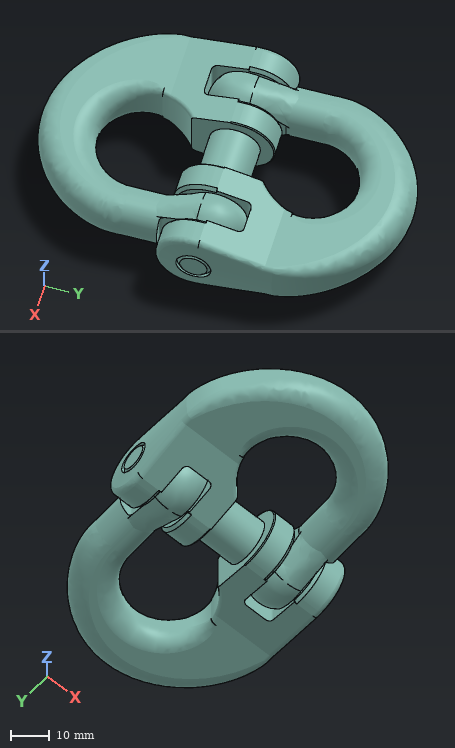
import cadquery as cq
import math

OUTER_X = 32.9
FLANK_RADIUS = 51.2
PIN_END_HEIGHT = 20.0
BAR_HALF_HEIGHT = 6.3
END_CENTRE_Y = 0.9
TAPER_TOP_Y = -1.1
TAPER_END_Y = -19.3

PRONG_INNER_X = 6.9
SLOT_INNER_X = 14.5
SLOT_OUTER_X = 24.1
SLOT_FLOOR_Y = -11.0
SLOT_CORNER_RADIUS = 1.5
FORK_EDGE_RADIUS = 1.6
SLOT_EDGE_CHAMFER = 0.9
SLEEVE_EDGE_CHAMFER = 0.3
THROAT_EDGE_RADIUS = 1.0
THROAT_END_Y = -11.9
THROAT_MID = (-10.9, -16.4)

OPENING_CENTRE = (0.8, -21.5)
OPENING_RADIUS = 13.7
BAR_SECTIONS = [
    (0, 33.7, 1.6),
    (45, 31.1, 4.7),
    (90, 29.6, 5.8),
    (135, 27.5, 5.8),
    (180, 26.4, 5.8),
]

EYE_CLEARANCE = 0.1
EYE_CROWN_RADIUS = 8.2
EYE_TAIL_Y = -1.7
EYE_TAIL_END_Y = -13.3
SHOULDER_FILLET = 0.8
ARM_END_Y = -11.7

SMALL = 0.01

PIN_DIAMETER = 9.5
PIN_END_CHAMFER = 1.0
PIN_HALF_LENGTH = 32.8
SLEEVE_RADIUS = 7.0
SLEEVE_HALF_LENGTH = 6.8

HALF_HEIGHT = PIN_END_HEIGHT / 2
PIN_RADIUS = PIN_DIAMETER / 2
EYE_INNER_X = SLOT_INNER_X + EYE_CLEARANCE
EYE_OUTER_X = SLOT_OUTER_X - EYE_CLEARANCE
EYE_CENTRE_X = (EYE_INNER_X + EYE_OUTER_X) / 2
ARM_INNER_X = OPENING_CENTRE[0] + OPENING_RADIUS
ARM_OUTER_X = OPENING_CENTRE[0] + BAR_SECTIONS[-1][1]
ARM_CENTRE_X = (ARM_INNER_X + ARM_OUTER_X) / 2


def rod(radius, x_start, x_end):
    """Cylinder along the pin axis."""
    return cq.Workplane("YZ", origin=(x_start, 0, 0)).circle(radius).extrude(x_end - x_start)


def flank_drop(height):
    """How far the crowned side falls back at a height above the middle."""
    return FLANK_RADIUS - math.sqrt(FLANK_RADIUS**2 - height**2)


def crowned_fork():
    """Envelope of the fork: outer side crowned along the body and domed round the pin end."""
    edge_x = flank_drop(HALF_HEIGHT) - OUTER_X
    along_body = (
        cq.Workplane("XZ", origin=(0, END_CENTRE_Y, 0))
        .moveTo(0, -HALF_HEIGHT)
        .lineTo(edge_x, -HALF_HEIGHT)
        .threePointArc((-OUTER_X, 0), (edge_x, HALF_HEIGHT))
        .lineTo(0, HALF_HEIGHT)
        .close()
        .extrude(END_CENTRE_Y - OPENING_CENTRE[1])
    )
    half_drop_x = flank_drop(HALF_HEIGHT / 2) - OUTER_X
    round_end = (
        cq.Workplane("XY", origin=(0, END_CENTRE_Y, 0))
        .lineTo(-OUTER_X, 0)
        .threePointArc((half_drop_x, -HALF_HEIGHT / 2), (edge_x, -HALF_HEIGHT))
        .lineTo(0, -HALF_HEIGHT)
        .close()
        .revolve(360, (0, 0, 0), (1, 0, 0))
    )
    return along_body.union(round_end)


def lengthwise_edges(part, box):
    """Edges with their middle in a box, without those that lie in a plane across Y."""
    return part.edges(box).filter(lambda edge: edge.BoundingBox().ylen > SMALL)


def round_flank(part):
    """Crown the outer side of a fork piece and round the edges that run along it."""
    flank_box = cq.selectors.BoxSelector(
        (-OUTER_X, OPENING_CENTRE[1], -HALF_HEIGHT),
        (flank_drop(HALF_HEIGHT) - OUTER_X + SMALL, END_CENTRE_Y + HALF_HEIGHT, HALF_HEIGHT),
    )
    return lengthwise_edges(part.intersect(crowned_fork()), flank_box).fillet(FORK_EDGE_RADIUS)


def prong_end(x_start, x_end):
    """Rounded end of one prong."""
    return (
        cq.Workplane("YZ", origin=(x_start, 0, 0))
        .moveTo(TAPER_TOP_Y, -HALF_HEIGHT)
        .lineTo(END_CENTRE_Y, -HALF_HEIGHT)
        .threePointArc((END_CENTRE_Y + HALF_HEIGHT, 0), (END_CENTRE_Y, HALF_HEIGHT))
        .lineTo(TAPER_TOP_Y, HALF_HEIGHT)
        .close()
        .extrude(x_end - x_start)
    )


def rim(prong, side):
    """Edges of one side face of a prong end, without the one against the fork body."""
    return prong.faces(side).edges("not <Y")


def fork_ends():
    outer = round_flank(prong_end(-OUTER_X, -SLOT_OUTER_X))
    outer = rim(outer, ">X").chamfer(SLOT_EDGE_CHAMFER)
    inner = prong_end(-SLOT_INNER_X, -PRONG_INNER_X)
    inner = rim(inner, "<X").chamfer(SLOT_EDGE_CHAMFER)
    inner = rim(inner, ">X").chamfer(SLEEVE_EDGE_CHAMFER)
    return outer.union(inner)


def fork_body():
    """Solid root of the fork, thinning from the pin to the curved bar."""
    bar_y = OPENING_CENTRE[1]
    plan = (
        cq.Workplane("XY", origin=(0, 0, -HALF_HEIGHT))
        .moveTo(-OUTER_X, bar_y)
        .lineTo(OPENING_CENTRE[0] - OPENING_RADIUS, bar_y)
        .threePointArc(THROAT_MID, (-PRONG_INNER_X, THROAT_END_Y))
        .lineTo(-PRONG_INNER_X, TAPER_TOP_Y)
        .lineTo(-OUTER_X, TAPER_TOP_Y)
        .close()
        .extrude(2 * HALF_HEIGHT)
    )
    side = (
        cq.Workplane("YZ", origin=(-OUTER_X, 0, 0))
        .moveTo(TAPER_TOP_Y, HALF_HEIGHT)
        .lineTo(TAPER_END_Y, BAR_HALF_HEIGHT)
        .lineTo(bar_y, BAR_HALF_HEIGHT)
        .lineTo(bar_y, -BAR_HALF_HEIGHT)
        .lineTo(TAPER_END_Y, -BAR_HALF_HEIGHT)
        .lineTo(TAPER_TOP_Y, -HALF_HEIGHT)
        .close()
        .extrude(OUTER_X)
    )
    body = round_flank(plan.intersect(side))
    throat_box = cq.selectors.BoxSelector(
        (OPENING_CENTRE[0] - OPENING_RADIUS, bar_y, -HALF_HEIGHT), (-PRONG_INNER_X, THROAT_END_Y, HALF_HEIGHT)
    )
    return lengthwise_edges(body, throat_box).fillet(THROAT_EDGE_RADIUS)


def slot():
    return (
        cq.Workplane("XY", origin=(0, 0, -HALF_HEIGHT))
        .moveTo(-SLOT_OUTER_X, SLOT_FLOOR_Y)
        .lineTo(-SLOT_INNER_X, SLOT_FLOOR_Y)
        .lineTo(-SLOT_INNER_X, TAPER_TOP_Y)
        .lineTo(-SLOT_OUTER_X, TAPER_TOP_Y)
        .close()
        .extrude(2 * HALF_HEIGHT)
        .edges("|Z and <Y")
        .fillet(SLOT_CORNER_RADIUS)
    )


def bar_section(turn, outer_radius, corner_radius):
    """Rounded rectangle across the bar at one turn around the opening."""
    angle = math.radians(180 + turn)
    outward = cq.Vector(math.cos(angle), math.sin(angle), 0)
    along = cq.Vector(-math.sin(angle), math.cos(angle), 0)
    middle = cq.Vector(*OPENING_CENTRE, 0) + outward * ((outer_radius + OPENING_RADIUS) / 2)
    plane = cq.Plane(middle, outward, along)
    half_width = (outer_radius - OPENING_RADIUS) / 2
    outer_corner = half_width - flank_drop(BAR_HALF_HEIGHT)
    outline = (
        cq.Workplane(plane)
        .moveTo(-half_width, BAR_HALF_HEIGHT)
        .lineTo(-half_width, -BAR_HALF_HEIGHT)
        .lineTo(outer_corner, -BAR_HALF_HEIGHT)
        .threePointArc((half_width, 0), (outer_corner, BAR_HALF_HEIGHT))
        .close()
        .val()
    )
    return outline.fillet2D(corner_radius, outline.Vertices())


def curved_bar():
    return cq.Workplane(cq.Solid.makeLoft([bar_section(*row) for row in BAR_SECTIONS]))


def arm():
    """Straight bar from the curve to the shoulder beside the eye."""
    length = ARM_END_Y - OPENING_CENTRE[1]
    return cq.Workplane(cq.Solid.extrudeLinear(bar_section(*BAR_SECTIONS[-1]), [], cq.Vector(0, length, 0)))


def barrel_radius(x):
    """Radius of the crowned eye at one place across its width."""
    drop = EYE_CROWN_RADIUS - math.sqrt(EYE_CROWN_RADIUS**2 - (x - EYE_CENTRE_X) ** 2)
    return HALF_HEIGHT - drop


def barrel_height(x):
    """Half height of the barrel where its tail begins."""
    return math.sqrt(barrel_radius(x) ** 2 - (EYE_TAIL_Y - END_CENTRE_Y) ** 2)


def arm_height(x):
    """Half height of the round arm."""
    return math.sqrt(BAR_HALF_HEIGHT**2 - (x - ARM_CENTRE_X) ** 2)


def eye_barrel():
    """Crowned barrel turned about the centre of the rounded end."""
    return (
        cq.Workplane("XY", origin=(0, END_CENTRE_Y, 0))
        .moveTo(EYE_INNER_X, 0)
        .lineTo(EYE_INNER_X, barrel_radius(EYE_INNER_X))
        .threePointArc(
            (EYE_CENTRE_X, barrel_radius(EYE_CENTRE_X)), (EYE_OUTER_X, barrel_radius(EYE_OUTER_X))
        )
        .lineTo(EYE_OUTER_X, 0)
        .close()
        .revolve(360, (0, 0, 0), (1, 0, 0))
    )


def tail_section(y, height):
    """Slice of the eye with arched top and bottom, `height` giving its half height across X."""
    inner, middle, outer = height(EYE_INNER_X), height(EYE_CENTRE_X), height(EYE_OUTER_X)
    return (
        cq.Workplane("XZ", origin=(0, y, 0))
        .moveTo(EYE_INNER_X, -inner)
        .lineTo(EYE_INNER_X, inner)
        .threePointArc((EYE_CENTRE_X, middle), (EYE_OUTER_X, outer))
        .lineTo(EYE_OUTER_X, -outer)
        .threePointArc((EYE_CENTRE_X, -middle), (EYE_INNER_X, -inner))
        .close()
        .val()
    )


def eye_tail():
    """Blend from the barrel down to the round arm."""
    sections = [tail_section(EYE_TAIL_END_Y, arm_height), tail_section(EYE_TAIL_Y, barrel_height)]
    return cq.Workplane(cq.Solid.makeLoft(sections, True))


def half_link(turn):
    """Curved bar with a fork on one end and an eye on the other, turned about Z."""
    fork = fork_body().union(fork_ends()).cut(slot())
    link = fork.union(curved_bar()).union(arm()).union(eye_tail()).union(eye_barrel())
    corner = cq.selectors.BoxSelector(
        (EYE_OUTER_X - SMALL, ARM_END_Y - SMALL, -HALF_HEIGHT),
        (EYE_OUTER_X + SMALL, ARM_END_Y + SMALL, HALF_HEIGHT),
    )
    link = link.edges(corner).fillet(SHOULDER_FILLET)
    link = link.cut(rod(PIN_RADIUS, -OUTER_X, OUTER_X))
    return link.rotate((0, 0, 0), (0, 0, 1), turn)


def pin():
    return rod(PIN_RADIUS, -PIN_HALF_LENGTH, PIN_HALF_LENGTH).faces("<X or >X").chamfer(PIN_END_CHAMFER)


def sleeve():
    bore = rod(PIN_RADIUS, -SLEEVE_HALF_LENGTH, SLEEVE_HALF_LENGTH)
    return rod(SLEEVE_RADIUS, -SLEEVE_HALF_LENGTH, SLEEVE_HALF_LENGTH).cut(bore)


half_links = [half_link(turn) for turn in (0, 180)]
result = cq.Compound.makeCompound(
    [*[link.val() for link in half_links], pin().val(), sleeve().val()]
)